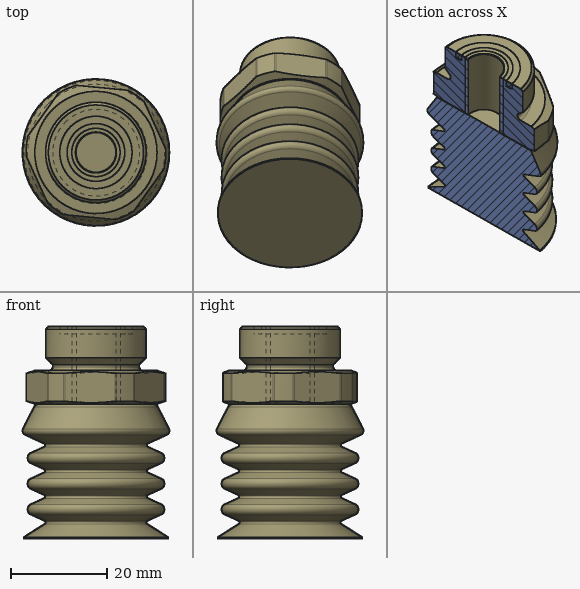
import cadquery as cq
import math

total_height = 44.05
bellows_height = 27.93

head_diameter = 20.9
head_chamfer = 0.57
head_bottom_z = 37.55
neck_diameter = 18.0
neck_fillet = 0.8
hex_height = 6.95
hex_sides = 6
hex_width = 26.95
hex_corner_diameter = 29.05
hex_edge_fillet = 0.8
hex_face_diameter = 25.37
hex_chamfer_height = 0.6
hex_turn = 24.5

seal_outer_diameter = 15.0
seal_inner_diameter = 12.0
seal_depth = 1.5
sleeve_outer_diameter = 10.05
sleeve_bore_diameter = 8.3
sleeve_mouth_diameter = 8.5

shoulder_radius = 12.55
shoulder_round = 1.0
bulge_apex_radius = 15.65
bulge_apex_z = 21.95
bulge_round = 0.95
fold_count = 3
fold_pitch = 5.35
first_groove_z = 19.4
groove_apex_radius = 10.1
groove_round = 0.35
crest_apex_radius = 15.9
crest_round = 1.2
lip_diameter = 30.0
lip_edge_height = 0.3

hex_top_z = bellows_height + hex_height
last_groove_z = first_groove_z - fold_count * fold_pitch


def ring(outer_diameter, inner_diameter, bottom_z, height):
    """Plain ring around the Z axis."""
    return (
        cq.Workplane("XY")
        .workplane(offset=bottom_z)
        .circle(outer_diameter / 2)
        .circle(inner_diameter / 2)
        .extrude(height)
    )


def turned(profile):
    """Revolve a closed profile, drawn as radius and height, around the Z axis."""
    return profile.close().revolve(360, (0, 0, 0), (0, 1, 0))


def rounded_corner(profile, before, corner, after, radius):
    """Continue a profile to a corner and round it with an arc tangent to both sides."""
    to_before = (cq.Vector(*before) - cq.Vector(*corner)).normalized()
    to_after = (cq.Vector(*after) - cq.Vector(*corner)).normalized()
    half_angle = to_before.getAngle(to_after) / 2
    tangent_length = radius / math.tan(half_angle)
    middle_distance = radius / math.sin(half_angle) - radius
    middle = (to_before + to_after).normalized() * middle_distance
    apex = cq.Vector(*corner)
    start = apex + to_before * tangent_length
    end = apex + to_after * tangent_length
    return profile.lineTo(start.x, start.y).threePointArc(
        ((apex + middle).x, (apex + middle).y), (end.x, end.y)
    )


def make_hexagon():
    """Hexagon with rounded corners and conical chamfers at both ends."""
    base = cq.Workplane("XY").workplane(offset=bellows_height)
    cylinder = base.circle(hex_corner_diameter / 2).extrude(hex_height)
    prism = (
        base.polygon(hex_sides, hex_width, circumscribed=True)
        .extrude(hex_height)
        .rotate((0, 0, 0), (0, 0, 1), hex_turn)
        .intersect(cylinder)
        .edges("|Z")
        .fillet(hex_edge_fillet)
    )
    face_radius = hex_face_diameter / 2
    corner_radius = hex_corner_diameter / 2
    envelope = turned(
        cq.Workplane("XZ")
        .moveTo(0, bellows_height)
        .lineTo(face_radius, bellows_height)
        .lineTo(corner_radius, bellows_height + hex_chamfer_height)
        .lineTo(corner_radius, hex_top_z - hex_chamfer_height)
        .lineTo(face_radius, hex_top_z)
        .lineTo(0, hex_top_z)
    )
    return prism.intersect(envelope)


def make_head():
    """Chamfered head with a 45 degree undercut and a neck that flares onto the hexagon."""
    head_radius = head_diameter / 2
    neck_radius = neck_diameter / 2
    neck_top_z = head_bottom_z - (head_radius - neck_radius)
    fillet_middle = neck_fillet * (1 - math.sqrt(0.5))
    return turned(
        cq.Workplane("XZ")
        .moveTo(0, hex_top_z)
        .lineTo(neck_radius + neck_fillet, hex_top_z)
        .threePointArc(
            (neck_radius + fillet_middle, hex_top_z + fillet_middle),
            (neck_radius, hex_top_z + neck_fillet),
        )
        .lineTo(neck_radius, neck_top_z)
        .lineTo(head_radius, head_bottom_z)
        .lineTo(head_radius, total_height - head_chamfer)
        .lineTo(head_radius - head_chamfer, total_height)
        .lineTo(0, total_height)
    )


def make_fitting():
    """Hexagon and head in one piece, with a through bore for the sleeve and a seal groove."""
    sleeve_hole = (
        cq.Workplane("XY")
        .workplane(offset=bellows_height)
        .circle(sleeve_outer_diameter / 2)
        .extrude(total_height - bellows_height)
    )
    return make_hexagon().union(make_head()).cut(sleeve_hole).cut(make_seal())


def make_seal():
    """Ring that fills the groove in the top face of the fitting."""
    return ring(seal_outer_diameter, seal_inner_diameter, total_height - seal_depth, seal_depth)


def make_sleeve():
    """Tube through the fitting, flush with its top, with a small chamfer at the mouth."""
    sleeve = ring(
        sleeve_outer_diameter, sleeve_bore_diameter, bellows_height, total_height - bellows_height
    )
    mouth_chamfer = (sleeve_mouth_diameter - sleeve_bore_diameter) / 2
    return sleeve.faces(">Z").edges(cq.selectors.RadiusNthSelector(0)).chamfer(mouth_chamfer)


def make_bellows():
    """Cup with a conical shoulder, a large bulge, repeated folds and a flared lip."""
    corners = [
        (shoulder_radius, bellows_height, shoulder_round),
        (bulge_apex_radius, bulge_apex_z, bulge_round),
    ]
    for fold in range(fold_count):
        groove_z = first_groove_z - fold * fold_pitch
        corners.append((groove_apex_radius, groove_z, groove_round))
        corners.append((crest_apex_radius, groove_z - fold_pitch / 2, crest_round))
    corners.append((groove_apex_radius, last_groove_z, groove_round))

    top_center = (0, bellows_height)
    lip_top = (lip_diameter / 2, lip_edge_height)
    path = [top_center] + [(radius, z) for radius, z, rounding in corners] + [lip_top]

    profile = cq.Workplane("XZ").moveTo(*top_center)
    for index, (radius, z, rounding) in enumerate(corners):
        profile = rounded_corner(profile, path[index], (radius, z), path[index + 2], rounding)
    return turned(profile.lineTo(*lip_top).lineTo(lip_diameter / 2, 0).lineTo(0, 0))


bellows = make_bellows()
fitting = make_fitting()
seal = make_seal()
sleeve = make_sleeve()

result = cq.Compound.makeCompound(
    [bellows.val(), fitting.solids().val(), seal.val(), sleeve.solids().val()]
)